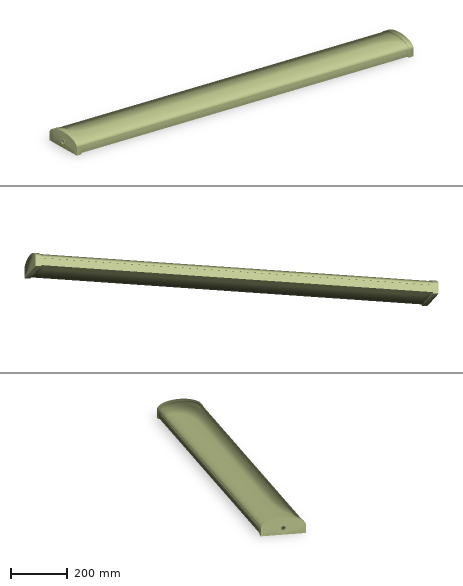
import cadquery as cq

WIDTH = 165.0
LENGTH = 1478.0
HEIGHT = 64.0

CAP_THICKNESS = 20.0
SHOULDER_HEIGHT = 31.0

SIDE_INSET = 1.0
TOP_INSET = 3.0
BOTTOM_INSET = 5.0
BODY_WIDTH = WIDTH - 2 * SIDE_INSET

GROOVE_HEIGHT = 5.0
GROOVE_DEPTH = 1.0
GROOVE_BOTTOM = SHOULDER_HEIGHT - GROOVE_HEIGHT

ENTRY_HEIGHT = 24.0
ENTRY_OUTER_DIAMETER = 22.0
ENTRY_INNER_DIAMETER = 16.0
ENTRY_RIM = 1.0

FRONT = -LENGTH / 2
CAP_FRONT = FRONT + ENTRY_RIM
BODY_FRONT = CAP_FRONT + CAP_THICKNESS
BODY_BACK = LENGTH / 2 - CAP_THICKNESS
BODY_LENGTH = BODY_BACK - BODY_FRONT


def section_plane(y):
    """XZ plane at the given Y, whose extrusions run toward +Y."""
    return cq.Plane(origin=(0, y, 0), xDir=(-1, 0, 0), normal=(0, 1, 0))


def box_along_y(width, bottom, top, y_start, length):
    """Box centred on X = 0 between two heights."""
    return (
        cq.Workplane(section_plane(y_start))
        .center(0, (bottom + top) / 2)
        .rect(width, top - bottom)
        .extrude(length)
    )


def domed_prism(width, bottom, top, y_start, length):
    """Prism with straight sides up to the shoulder and a half-ellipse roof."""
    half_width = width / 2
    outline = cq.Workplane(section_plane(y_start)).moveTo(half_width, SHOULDER_HEIGHT).ellipseArc(
        half_width, top - SHOULDER_HEIGHT, 0, 180
    )
    if bottom < SHOULDER_HEIGHT:
        outline = outline.lineTo(-half_width, bottom).lineTo(half_width, bottom)
    return outline.close().extrude(length)


def entry_cylinder(diameter, depth):
    """Round prism running back from the outer rim of the cable entry."""
    return (
        cq.Workplane(section_plane(FRONT))
        .center(0, ENTRY_HEIGHT)
        .circle(diameter / 2)
        .extrude(depth)
    )


def make_housing():
    """Base channel joined to both end caps, with the cable entry."""
    neck_width = BODY_WIDTH - 2 * GROOVE_DEPTH
    base = box_along_y(BODY_WIDTH, BOTTOM_INSET, GROOVE_BOTTOM, BODY_FRONT, BODY_LENGTH)
    neck = box_along_y(neck_width, GROOVE_BOTTOM, SHOULDER_HEIGHT, BODY_FRONT, BODY_LENGTH)
    body = base.union(neck)
    for cap_start in (CAP_FRONT, BODY_BACK):
        body = body.union(domed_prism(WIDTH, 0, HEIGHT, cap_start, CAP_THICKNESS))
    body = body.union(entry_cylinder(ENTRY_OUTER_DIAMETER, ENTRY_RIM + CAP_THICKNESS))
    return body.cut(entry_cylinder(ENTRY_INNER_DIAMETER, ENTRY_RIM + CAP_THICKNESS))


def make_cover():
    """Domed light cover lying on the base between the caps."""
    cover_top = HEIGHT - TOP_INSET
    return domed_prism(BODY_WIDTH, SHOULDER_HEIGHT, cover_top, BODY_FRONT, BODY_LENGTH)


housing = make_housing()
cover = make_cover()

result = cq.Compound.makeCompound([housing.val(), cover.val()])